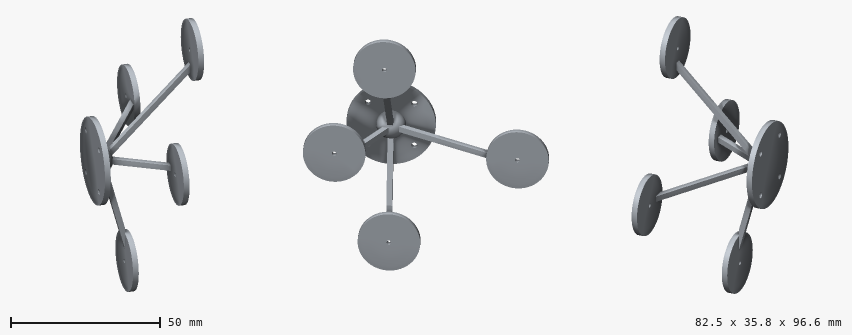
import cadquery as cq
import math

disc_thickness = 2.0
base_radius = 15.0
base_hole_diameter = 2.0
base_hole_count = 4
base_hole_circle_radius = 11.0
first_base_hole_angle = 45.0
hub_radius = 5.0

pad_radius = 10.5
pad_hole_diameter = 1.5
pad_center_beyond_arm = 5.0

arm_width = 2.0

arms = [
    (0.0, 60.0, 25.0),
    (90.0, 45.0, 45.0),
    (180.0, 30.0, 45.0),
    (270.0, 15.0, 35.0),
]


def disc(radius, front_y, center_x=0.0):
    """Round plate facing -Y, with its front face at front_y."""
    plate = cq.Workplane("XZ").circle(radius).extrude(-disc_thickness)
    return plate.translate((center_x, front_y, 0))


def drill(diameter, front_y, center_x=0.0):
    """Cutter for a hole through a disc whose front face is at front_y."""
    return disc(diameter / 2, front_y, center_x)


def make_base():
    base = disc(base_radius, -disc_thickness)
    hole = drill(base_hole_diameter, -disc_thickness, base_hole_circle_radius)
    for i in range(base_hole_count):
        angle = first_base_hole_angle + i * 360.0 / base_hole_count
        base = base.cut(hole.rotate((0, 0, 0), (0, 1, 0), angle))
    return base


def make_hub():
    """Half ball rising from the rear face of the base."""
    profile = (
        cq.Workplane("XY")
        .lineTo(hub_radius, 0)
        .radiusArc((0, hub_radius), -hub_radius)
        .close()
    )
    return profile.revolve(360, (0, 0, 0), (0, 1, 0))


def make_arm_with_pad(direction, tilt, length):
    """Tilted arm along +X with a pad on its tip, turned to its direction about Y."""
    cosine = math.cos(math.radians(tilt))
    sine = math.sin(math.radians(tilt))
    tip_x = length * cosine
    tip_y = length * sine

    arm = (
        cq.Workplane("XY")
        .polyline([
            (0, 0),
            (tip_x, tip_y),
            (tip_x - arm_width / sine, tip_y),
            (-arm_width * sine, arm_width * cosine),
        ])
        .close()
        .extrude(arm_width / 2, both=True)
    )

    pad_x = tip_x + pad_center_beyond_arm
    pad = disc(pad_radius, tip_y, pad_x).cut(drill(pad_hole_diameter, tip_y, pad_x))
    return arm.union(pad).rotate((0, 0, 0), (0, 1, 0), -direction)


result = make_base().union(make_hub())
for direction, tilt, length in arms:
    result = result.union(make_arm_with_pad(direction, tilt, length))